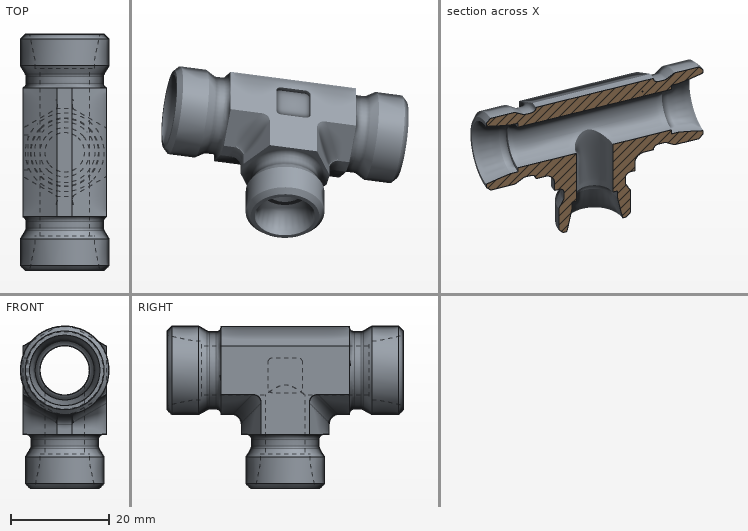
import cadquery as cq
import math

RUN_REACH = 24.0
BRANCH_REACH = 24.0
BODY_REACH = 13.0
HEX_APOTHEM = 8.5
RIDGE_HEIGHT = 8.95
CROTCH_RADIUS = 2.0

RUN_THREAD_DIAMETER = 18.0
BRANCH_THREAD_DIAMETER = 16.0
END_CHAMFER = 1.0
THREAD_LENGTH = 6.4
NECK_DEPTH = 1.15
RUNOUT_ANGLE = 30
NECK_RADIUS = 1.0

RUN_SOCKET_DIAMETER = 12.0
RUN_BORE_DIAMETER = 10.0
BRANCH_SOCKET_DIAMETER = 10.0
BRANCH_BORE_DIAMETER = 8.0
MOUTH_WIDENING = 1.15
MOUTH_HALF_ANGLE = 12
SOCKET_DEPTH = 7.0

RECESS_SIZE = 7.1
RECESS_CENTRE_Z = -1.0
RECESS_CORNER = 1.0
RECESS_DEPTH = 1.0

TOLERANCE = 0.0005


def point_to_run_end(shape, side):
    """Turn a shape built along +Z so that it points along +Y (side 1) or -Y (side -1)."""
    return shape.rotate((0, 0, 0), (1, 0, 0), -90 * side)


def point_to_branch_end(shape):
    """Turn a shape built along +Z so that it points along -Z."""
    return shape.rotate((0, 0, 0), (1, 0, 0), 180)


def hex_bar(bottom, top):
    """Hexagonal bar along Z with flats on +-X and its two Y corners cut off."""
    corner_diameter = 4 * HEX_APOTHEM / math.sqrt(3)
    bar = cq.Workplane("XY").workplane(offset=bottom).polygon(6, corner_diameter)
    bar = bar.extrude(top - bottom).rotate((0, 0, 0), (0, 0, 1), 90)
    limits = cq.Workplane("XY").workplane(offset=bottom)
    limits = limits.rect(2 * HEX_APOTHEM, 2 * RIDGE_HEIGHT).extrude(top - bottom)
    return bar.intersect(limits)


def make_body():
    """Run and branch hexagonal bars, blended where the branch leaves the run."""
    run = point_to_run_end(hex_bar(-BODY_REACH, BODY_REACH), 1)
    branch = point_to_branch_end(hex_bar(0, BODY_REACH))
    body = run.union(branch)

    def is_crotch(edge):
        ends = (edge.startPoint(), edge.endPoint())
        return all(abs(abs(end.y) + end.z) < TOLERANCE for end in ends)

    crotch = [edge for edge in body.edges().vals() if is_crotch(edge)]
    return body.newObject(crotch).fillet(CROTCH_RADIUS)


def threaded_end(reach, thread_diameter):
    """Solid thread with runout cone and neck, along +Z from the crossing point."""
    thread_radius = thread_diameter / 2
    neck_radius = thread_radius - NECK_DEPTH
    slope = math.radians(RUNOUT_ANGLE)
    thread_start = reach - THREAD_LENGTH
    runout_foot = thread_start - NECK_DEPTH / math.tan(slope)
    tangent = NECK_RADIUS * math.tan(slope / 2)
    flare_radius = neck_radius + NECK_RADIUS
    flare_end = BODY_REACH + NECK_RADIUS
    arc_inset = NECK_RADIUS * (1 - math.cos(math.pi / 4))

    blank = (
        cq.Workplane("XZ")
        .lineTo(flare_radius, 0)
        .lineTo(flare_radius, BODY_REACH)
        .threePointArc(
            (neck_radius + arc_inset, BODY_REACH + arc_inset),
            (neck_radius, flare_end),
        )
        .lineTo(neck_radius, runout_foot - tangent)
        .threePointArc(
            (
                neck_radius + NECK_RADIUS * (1 - math.cos(slope / 2)),
                runout_foot - tangent + NECK_RADIUS * math.sin(slope / 2),
            ),
            (neck_radius + tangent * math.sin(slope), runout_foot + tangent * math.cos(slope)),
        )
        .lineTo(thread_radius, thread_start)
        .lineTo(thread_radius, reach - END_CHAMFER)
        .lineTo(thread_radius - END_CHAMFER, reach)
        .lineTo(0, reach)
        .close()
        .revolve(360, (0, 0, 0), (0, 1, 0))
    )

    flare = blank.intersect(hex_bar(0, flare_end))
    beyond_flare = cq.Workplane("XY").workplane(offset=flare_end)
    beyond_flare = beyond_flare.circle(thread_diameter).extrude(reach - flare_end)
    return flare.union(blank.intersect(beyond_flare))


def stepped_bore(reach, socket_diameter, bore_diameter):
    """Cutter for the tapered mouth, socket and flow bore, along +Z from the crossing point."""
    socket_radius = socket_diameter / 2
    bore_radius = bore_diameter / 2
    taper_length = MOUTH_WIDENING / math.tan(math.radians(MOUTH_HALF_ANGLE))
    outline = [
        (0, 0),
        (bore_radius, 0),
        (bore_radius, reach - SOCKET_DEPTH),
        (socket_radius, reach - SOCKET_DEPTH),
        (socket_radius, reach - taper_length),
        (socket_radius + MOUTH_WIDENING, reach),
        (0, reach),
    ]
    return cq.Workplane("XZ").polyline(outline).close().revolve(360, (0, 0, 0), (0, 1, 0))


def square_recess():
    """Cutter for the rounded square recess in the -X flat."""
    block = cq.Workplane("XY").box(2 * RECESS_DEPTH, RECESS_SIZE, RECESS_SIZE)
    block = block.edges("|X").fillet(RECESS_CORNER)
    return block.translate((-HEX_APOTHEM, 0, RECESS_CENTRE_Z))


run_end = threaded_end(RUN_REACH, RUN_THREAD_DIAMETER)
run_bore = stepped_bore(RUN_REACH, RUN_SOCKET_DIAMETER, RUN_BORE_DIAMETER)
branch_end = threaded_end(BRANCH_REACH, BRANCH_THREAD_DIAMETER)
branch_bore = stepped_bore(BRANCH_REACH, BRANCH_SOCKET_DIAMETER, BRANCH_BORE_DIAMETER)

result = make_body().union(point_to_branch_end(branch_end))
for side in (1, -1):
    result = result.union(point_to_run_end(run_end, side))
for side in (1, -1):
    result = result.cut(point_to_run_end(run_bore, side))
result = result.cut(point_to_branch_end(branch_bore)).cut(square_recess())